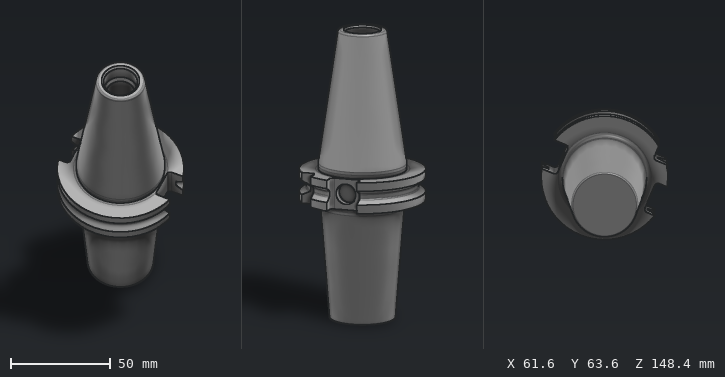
import cadquery as cq
import math

total_height = 148.4
gauge_height = 80.0
flange_top = 76.9
flange_thickness = 15.9
flange_bottom = flange_top - flange_thickness
lower_collar_height = 1.5

gauge_radius = 22.3
taper_ratio = 7 / 24
taper_top_radius = gauge_radius - (total_height - gauge_height) * taper_ratio / 2
taper_edge_fillet = 1.0
undercut_radius = 22.1
neck_length = 1.6
neck_top = flange_top + neck_length

flange_radius = 31.8
groove_floor_radius = 28.0
groove_floor_width = 2.8
groove_center = flange_bottom + 8.0
groove_side_angle = 30.0
groove_fillet = 0.7
groove_side_height = (flange_radius - groove_floor_radius) * math.tan(math.radians(groove_side_angle))
groove_half_floor = groove_floor_width / 2
groove_half_mouth = groove_half_floor + groove_side_height
face_recess_radius = 23.6
face_recess_depth = 0.3

lower_radius = 21.0
bottom_radius = 16.6
bottom_fillet = 0.7
flange_fillet = 2.2

slot_width = 15.9
left_slot_floor = -24.8
right_slot_floor = 22.7
notch_side = -18.7
notch_floor = 18.4
corner_fillet = 1.6

side_hole_radius = 5.2
side_hole_depth = 4.6
side_hole_height = groove_center
counterbore_radius = 8.5
counterbore_depth = 8.0
mouth_radius = 9.5
thread_hole_radius = 7.0
thread_hole_depth = 31.2
drill_point_angle = 118.0


def groove_floor_edges(body):
    """Circular edges where the groove sides meet the groove floor."""
    edge_margin = 0.1
    reach = groove_floor_radius + groove_half_floor
    return body.edges(
        cq.selectors.BoxSelector(
            (-reach, -reach, groove_center - groove_half_floor - edge_margin),
            (reach, reach, groove_center + groove_half_floor + edge_margin),
            boundingbox=True,
        )
    ).edges("%CIRCLE")


def revolved_body():
    collar_bottom = flange_bottom - flange_fillet - lower_collar_height
    body = (
        cq.Workplane("XZ")
        .moveTo(0, 0)
        .lineTo(bottom_radius - bottom_fillet, 0)
        .radiusArc((bottom_radius, bottom_fillet), -bottom_fillet)
        .lineTo(lower_radius, collar_bottom)
        .lineTo(lower_radius, flange_bottom - flange_fillet)
        .radiusArc((lower_radius + flange_fillet, flange_bottom), flange_fillet)
        .lineTo(flange_radius, flange_bottom)
        .lineTo(flange_radius, groove_center - groove_half_mouth)
        .lineTo(groove_floor_radius, groove_center - groove_half_floor)
        .lineTo(groove_floor_radius, groove_center + groove_half_floor)
        .lineTo(flange_radius, groove_center + groove_half_mouth)
        .lineTo(flange_radius, flange_top)
        .lineTo(face_recess_radius, flange_top)
        .lineTo(undercut_radius, flange_top - face_recess_depth)
        .lineTo(gauge_radius, neck_top)
        .lineTo(gauge_radius, gauge_height)
        .lineTo(taper_top_radius, total_height)
        .lineTo(0, total_height)
        .close()
        .revolve(360, (0, 0, 0), (0, 1, 0))
        .faces(">Z")
        .edges()
        .fillet(taper_edge_fillet)
    )
    return groove_floor_edges(body).fillet(groove_fillet)


def flange_cutter(x_inner, x_outward, y_low, y_high):
    """Box through the flange, rounded on the inner upright edges."""
    length = 2 * flange_radius
    center_x = x_inner + x_outward * length / 2
    inner_side = "<X" if x_outward > 0 else ">X"
    return (
        cq.Workplane("XY")
        .box(length, y_high - y_low, flange_thickness)
        .faces(inner_side)
        .edges("|Z")
        .fillet(corner_fillet)
        .translate((center_x, (y_low + y_high) / 2, flange_bottom + flange_thickness / 2))
    )


def side_hole():
    return (
        cq.Workplane("YZ", origin=(left_slot_floor, 0, side_hole_height))
        .circle(side_hole_radius)
        .extrude(side_hole_depth)
    )


def axial_hole():
    counterbore_floor = total_height - counterbore_depth
    thread_floor = total_height - thread_hole_depth
    cone_depth = thread_hole_radius / math.tan(math.radians(drill_point_angle / 2))
    mouth_chamfer = mouth_radius - counterbore_radius
    step_chamfer = counterbore_radius - thread_hole_radius
    return (
        cq.Workplane("XZ")
        .moveTo(0, total_height)
        .lineTo(mouth_radius, total_height)
        .lineTo(counterbore_radius, total_height - mouth_chamfer)
        .lineTo(counterbore_radius, counterbore_floor)
        .lineTo(thread_hole_radius, counterbore_floor - step_chamfer)
        .lineTo(thread_hole_radius, thread_floor)
        .lineTo(0, thread_floor - cone_depth)
        .close()
        .revolve(360, (0, 0, 0), (0, 1, 0))
    )


left_slot = flange_cutter(left_slot_floor, -1, -slot_width / 2, slot_width / 2)
right_slot = flange_cutter(right_slot_floor, 1, -slot_width / 2, slot_width / 2)
notch = flange_cutter(notch_side, -1, notch_floor, notch_floor + flange_radius)

result = (
    revolved_body()
    .cut(left_slot)
    .cut(right_slot)
    .cut(notch)
    .cut(side_hole())
    .cut(axial_hole())
)